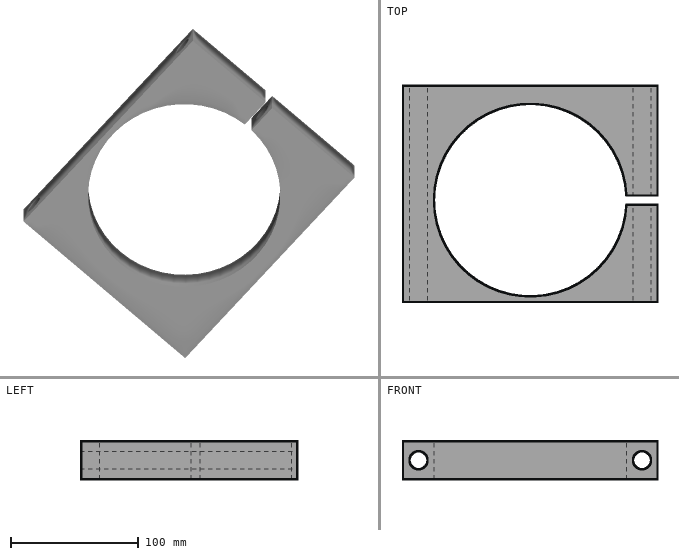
import cadquery as cq

length = 200.0
width = 170.0
thickness = 30.0

bore_diameter = 151.0
bore_offset_y = -5.0

slit_width = 7.0

screw_hole_diameter = 14.0
side_wall = (length - bore_diameter) / 2
screw_x = (length - side_wall) / 2

block = cq.Workplane("XY").box(length, width, thickness)

bore = (
    cq.Workplane("XY")
    .center(0, bore_offset_y)
    .circle(bore_diameter / 2)
    .extrude(thickness, both=True)
)

slit = cq.Workplane("XY").box(length / 2, slit_width, thickness).translate((length / 4, bore_offset_y, 0))

screw_holes = (
    cq.Workplane("XZ")
    .pushPoints([(-screw_x, 0), (screw_x, 0)])
    .circle(screw_hole_diameter / 2)
    .extrude(width, both=True)
)

result = block.cut(bore).cut(slit).cut(screw_holes)